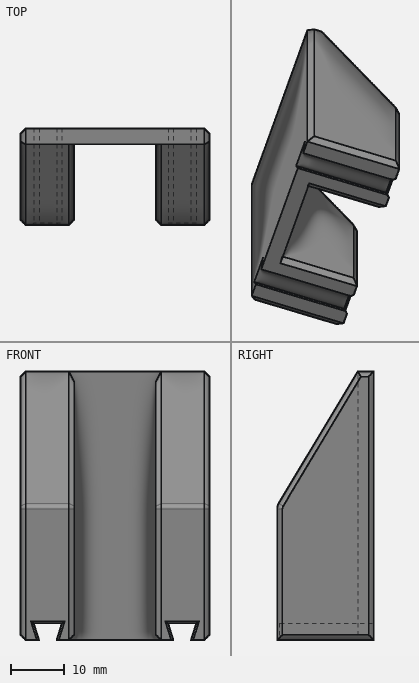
import cadquery as cq
import math

width = 35.2
depth = 18.0
height = 50.0

plate_thickness = 3.0
leg_width = 10.0
leg_front_height = 25.0
slope_fillet = 2.0
edge_chamfer = 1.0

slot_height = 3.1
slot_top_width = 5.2
slot_flank_angle = 17.5
slot_mouth_chamfer = 0.4
slot_spacing = 25.0

plate_front_y = depth - plate_thickness
channel_half_width = width / 2 - leg_width

tolerance = 0.01


def make_body():
    """Side profile with a sloped front, extruded across the full width."""
    body = (
        cq.Workplane("YZ")
        .moveTo(0, 0)
        .lineTo(depth, 0)
        .lineTo(depth, height)
        .lineTo(plate_front_y, height)
        .lineTo(0, leg_front_height)
        .close()
        .extrude(width / 2, both=True)
    )
    slope_foot = cq.selectors.NearestToPointSelector((0, 0, leg_front_height))
    body = body.edges(slope_foot).fillet(slope_fillet)
    return body.faces("<X or >X").edges().chamfer(edge_chamfer)


def cut_channel(body):
    """Open the space between the legs and chamfer the free edges of its walls."""
    channel = cq.Workplane("XY").box(
        2 * channel_half_width, plate_front_y, height, centered=(True, False, False)
    )
    body = body.cut(channel)
    free_edges = []
    for side in (-1, 1):
        wall_x = side * channel_half_width
        for edge in body.edges("not |X").vals():
            box = edge.BoundingBox()
            on_wall = max(abs(box.xmin - wall_x), abs(box.xmax - wall_x)) < tolerance
            meets_plate = box.ymin > plate_front_y - tolerance
            if on_wall and not meets_plate:
                free_edges.append(edge)
    return body.newObject(free_edges).chamfer(edge_chamfer)


def slot_outline(y, offset):
    """Dovetail section at depth y, with its top and flanks moved outward by offset."""
    slope = math.tan(math.radians(slot_flank_angle))
    top_z = slot_height + offset
    flank_shift = offset / math.cos(math.radians(slot_flank_angle))
    half_bottom = slot_top_width / 2 - slot_height * slope + flank_shift
    half_top = half_bottom + top_z * slope
    return cq.Wire.makePolygon(
        [
            cq.Vector(-half_bottom, y, 0),
            cq.Vector(half_bottom, y, 0),
            cq.Vector(half_top, y, top_z),
            cq.Vector(-half_top, y, top_z),
        ],
        close=True,
    )


def make_slot():
    """Through slot with a chamfered mouth at the front face."""
    passage = cq.Solid.extrudeLinear(slot_outline(0, 0), [], cq.Vector(0, depth, 0))
    mouth = cq.Solid.makeLoft(
        [slot_outline(0, slot_mouth_chamfer), slot_outline(slot_mouth_chamfer, 0)], True
    )
    return cq.Workplane(passage).union(cq.Workplane(mouth))


result = cut_channel(make_body())
for side in (-1, 1):
    result = result.cut(make_slot().translate((side * slot_spacing / 2, 0, 0)))